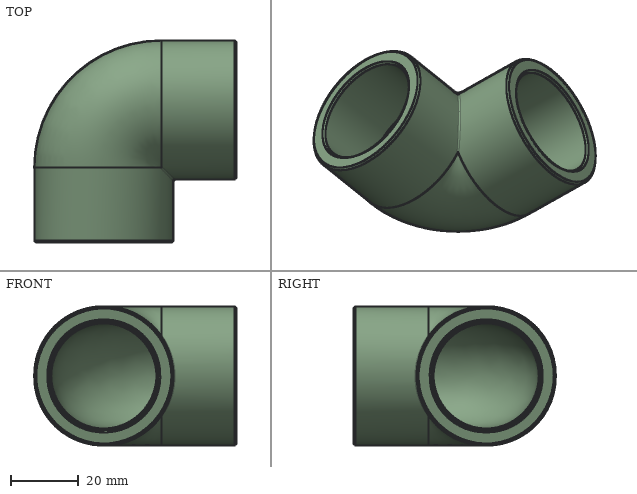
import cadquery as cq

overall = 59.5
outer_diameter = 41.0
outer_radius = outer_diameter / 2

socket_length = 22.0
socket_bore_diameter = 32.0
mouth_diameter = 33.25
mouth_chamfer = (mouth_diameter - socket_bore_diameter) / 2
rim_chamfer = 0.6
crotch_fillet = 0.5
blank_extra = 3.0

bend_bore_diameter = 31.0
bend_axis_x = overall - socket_length
bend_axis_y = socket_length
bend_radius = bend_axis_x - outer_radius

mouths = (
    cq.Plane(origin=(outer_radius, 0, 0), xDir=(1, 0, 0), normal=(0, 1, 0)),
    cq.Plane(origin=(overall, overall - outer_radius, 0), xDir=(0, 1, 0), normal=(-1, 0, 0)),
)


def make_socket_outside(mouth):
    """Solid cylinder with its outer rim chamfered at the mouth."""
    mouth_face = cq.selectors.NearestToPointSelector(mouth.origin.toTuple())
    cylinder = cq.Workplane(mouth).circle(outer_radius).extrude(socket_length + blank_extra)
    return cylinder.faces(mouth_face).chamfer(rim_chamfer)


def make_socket_bore(mouth):
    """Cutter for one socket: a straight bore with a conical lead-in at the mouth."""
    bore_radius = socket_bore_diameter / 2
    bore = cq.Workplane(mouth).circle(bore_radius).extrude(socket_length)
    lead_in = cq.Solid.makeCone(
        mouth_diameter / 2, bore_radius, mouth_chamfer, mouth.origin, mouth.zDir
    )
    return bore.union(cq.Workplane(lead_in))


def make_bend_quadrant():
    """Block filling the space that belongs to the bend, up to both seam planes."""
    return (
        cq.Workplane()
        .box(bend_axis_x, overall - bend_axis_y, outer_diameter, centered=(False, False, True))
        .translate((0, bend_axis_y, 0))
    )


def make_socket_pair():
    """Both sockets as one solid, joined where their cylinders cross in the inner corner."""
    front_mouth, side_mouth = mouths
    sockets = make_socket_outside(front_mouth).union(make_socket_outside(side_mouth))
    corner = (outer_diameter, overall - outer_diameter, 0)
    sockets = sockets.edges(cq.selectors.NearestToPointSelector(corner)).fillet(crotch_fillet)
    sockets = sockets.cut(make_bend_quadrant())
    for mouth in mouths:
        sockets = sockets.cut(make_socket_bore(mouth))
    return sockets


def make_quarter_turn(radius):
    """Quarter turn of a round section about the upright bend axis.

    A section wider than the bend radius is cut off at the axis.
    """
    section_plane = cq.Plane(origin=(bend_axis_x, bend_axis_y, 0), xDir=(-1, 0, 0), normal=(0, 1, 0))
    section = cq.Sketch().push([(bend_radius, 0)]).circle(radius).reset()
    beyond_axis = cq.Sketch().push([(overall / 2, 0)]).rect(overall, overall).reset()
    half_section = section.face(beyond_axis, mode="i")
    return cq.Workplane(section_plane).placeSketch(half_section).revolve(90, (0, 0, 0), (0, -1, 0))


def make_bend():
    """Hollow quarter bend between the inner ends of the two sockets."""
    return make_quarter_turn(outer_radius).cut(make_quarter_turn(bend_bore_diameter / 2))


sockets = make_socket_pair()
bend = make_bend()

result = cq.Compound.makeCompound([sockets.solids().val(), bend.solids().val()])